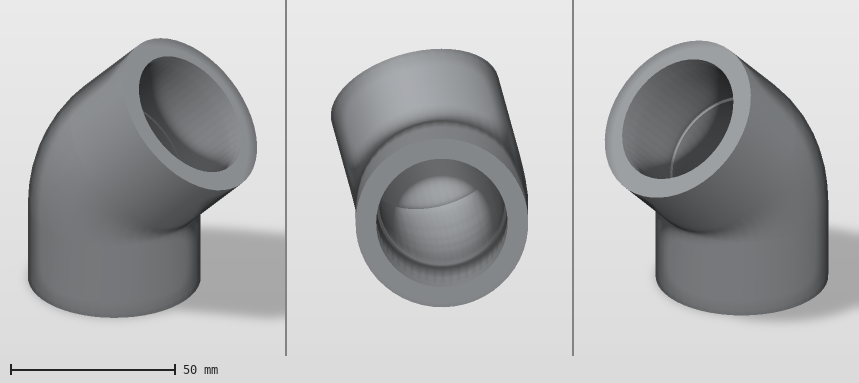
import cadquery as cq
import math

overall_height = 80.9
outer_diameter = 52.5
socket_diameter = 39.95
bore_diameter = 38.0
leg_length = 25.2
socket_depth = 27.3
bend_angle = 45

turn = math.radians(bend_angle)
straight_rise = leg_length * (1 + math.cos(turn))
bend_radius = (overall_height - straight_rise) / math.sin(turn) - outer_diameter / 2
bend_end_x = bend_radius * (1 - math.cos(turn))
bend_end_z = leg_length + bend_radius * math.sin(turn)
outlet_direction = cq.Vector(math.sin(turn), 0, math.cos(turn))
outlet_center = cq.Vector(bend_end_x, 0, bend_end_z) + outlet_direction * leg_length


def straight(diameter, length, start, direction):
    return cq.Workplane(cq.Solid.makeCylinder(diameter / 2, length, start, direction))


def elbow(diameter):
    """Solid round bar following the two legs and the bend between them."""
    inlet = straight(diameter, leg_length, cq.Vector(0, 0, 0), cq.Vector(0, 0, 1))
    bend = (
        cq.Workplane("XY", origin=(0, 0, leg_length))
        .circle(diameter / 2)
        .revolve(bend_angle, (bend_radius, 0, 0), (bend_radius, 1, 0))
    )
    outlet = straight(diameter, leg_length, outlet_center, outlet_direction * -1)
    return inlet.union(bend).union(outlet)


inlet_socket = straight(socket_diameter, socket_depth, cq.Vector(0, 0, 0), cq.Vector(0, 0, 1))
outlet_socket = straight(socket_diameter, socket_depth, outlet_center, outlet_direction * -1)

result = elbow(outer_diameter).cut(elbow(bore_diameter)).cut(inlet_socket).cut(outlet_socket)